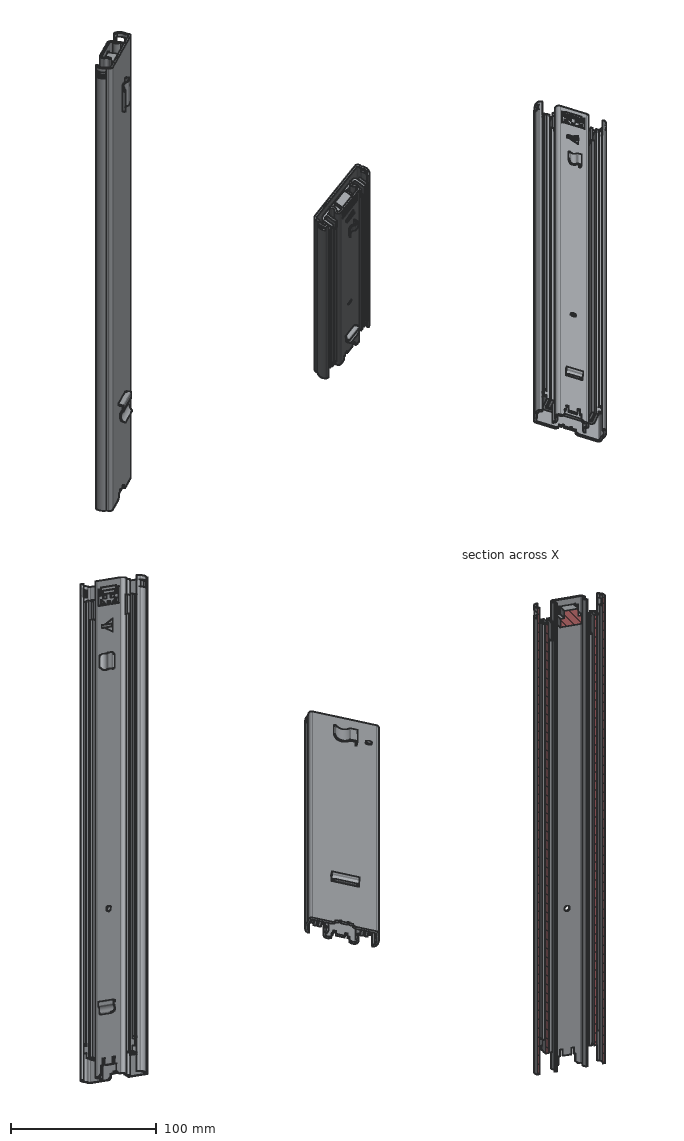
import cadquery as cq


rail_length = 350.0
overall_depth = 22.14
overall_height = 51.89
tab_reach = overall_depth / 2

outer_wall = 1.6
outer_back = 6.0
outer_bend = 1.6
outer_side = 24.9
bulge_start = 1.9
bulge_end = -4.4
lip_x = -5.1
lip_y = 22.8

middle_wall = 1.9
middle_bottom = 14.7
middle_top = 337.5
middle_back = 3.9
middle_front = -5.9
middle_side = 19.0
middle_bend = 1.5
outer_stop_z = (18.3, 23.4)
outer_stop_y = 21.1
outer_stop_thickness = 1.5
inner_stop_bottom = 323.7
inner_stop_y = (13.2, 14.8)

inner_wall = 1.5
inner_front = -6.9
inner_side = 11.6
inner_bend = 2.0
inner_race_start = -3.2
inner_race_end = 1.2
inner_race_depth = 1.3

cage_front = -5.9
outer_cage_y = (19.5, 21.1)
outer_cage_back = 1.0
outer_cage_z = (25.0, 337.0)
inner_cage_y = (13.8, 15.9)
inner_cage_back = 1.0
inner_cage_z = (middle_bottom, inner_stop_bottom)

catch_bottom = 332.2
catch_shoulder = 339.5
catch_top = 345.0
catch_half_width = 8.4
catch_neck_half_width = 6.2
catch_core_half_width = 5.3
catch_clearance = 0.3
slit_width = 1.0
slit_top = 344.0
recess_depth = 1.0
groove_z = (340.0, 342.5)
upper_recess_y = (1.6, 4.8)
upper_recess_z = (336.8, 339.0)
corner_recess_y = (3.0, 6.4)
corner_recess_z = (333.2, 336.4)
middle_recess_half_width = 1.1
middle_recess_z = (333.3, 334.6)

notch_half_width = 6.3
outer_notch_height = 4.0
inner_notch_height = 7.5
relief_slot_y = 4.2
relief_slot_width = 2.0
relief_slot_top = 12.4
notch_flare = 1.8
step_slot_y = 2.9
step_slot_width = 1.4
step_slot_top = 5.4

side_cutout_x = (-4.5, 1.6)
side_cutout_z = (342.0, 347.0)

pilot_hole_diameter = 4.0
pilot_hole_z = 117.5
mark_height = 0.4
mark_z = 317.0
mark_half_base = 4.6
mark_base_y = -3.6
mark_tip_y = 4.8
mark_rib_height = 1.2
mark_rib_width = 2.0
dimple_diameter = 4.4
dimple_height = 1.1
dimple_y = 17.0
dimple_z = 316.0

tab_thickness = 1.0
tab_corner = 2.0
tab_crest_share = 0.72
tab_pinch_share = 0.4
tab_run_end_share = 0.4
tab_pinch_place_share = 0.5
tab_neck_height = 1.0
tab_neck_inset = 0.9
outer_side_tab = {"length": 17.0, "width": 19.0, "z": 315.9}
outer_hanging_tab = {"length": 14.8, "width": 19.5, "z": 68.9}
inner_side_tab = {"length": 10.0, "width": 11.5, "z": 291.5}
inner_hanging_tab = {"length": 9.6, "width": 12.2, "z": 47.1}


def box(x_range, y_range, z_range):
    sizes = [high - low for low, high in (x_range, y_range, z_range)]
    return cq.Workplane("XY").box(*sizes, centered=False).translate((x_range[0], y_range[0], z_range[0]))


def extrude_wall(half_path, wall, bottom, top):
    """Thicken a half section path, extrude it along Z and mirror it about Y = 0."""
    half = half_path.offset2D(wall / 2).extrude(top - bottom)
    half = half.intersect(box((-overall_depth, overall_depth), (0, overall_height), (0, rail_length)))
    return half.union(half.mirror("XZ")).translate((0, 0, bottom))


def both_sides(body):
    return body.union(body.mirror("XZ"))


def spring_tab(root_x, direction, length, width):
    """Bent tab standing off a web on a narrowed neck: root, run, pinch and flared tip.

    It is built with the run along -Y, the width along Z and both centred on the origin.
    """
    reach = tab_reach - abs(root_x)
    crest = tab_crest_share * reach
    pinch = tab_pinch_share * reach
    half = length / 2 - tab_thickness / 2

    def at(height, y):
        return (root_x + direction * height, y)

    path = (
        cq.Workplane("XY")
        .moveTo(*at(-tab_thickness, half))
        .lineTo(*at(crest, half))
        .lineTo(*at(crest, tab_run_end_share * half))
        .threePointArc(at(pinch, -tab_pinch_place_share * half), at(reach - tab_thickness / 2, -half))
    )
    tab = path.offset2D(tab_thickness / 2).extrude(width / 2, both=True)
    outline = cq.Workplane("YZ").rect(length, width).extrude(reach).edges("|X and <Y").chamfer(tab_corner)
    for end in (-1, 1):
        relief = cq.Workplane("XY").box(2 * tab_neck_height, length, 2 * tab_neck_inset)
        outline = outline.cut(relief.translate((0, 0, end * width / 2)))
    if direction < 0:
        outline = outline.mirror("YZ")
    return tab.intersect(outline.translate((root_x, 0, 0)))


def side_tab(root_x, direction, length, width, z):
    """Tab whose run lies along Y; it points to -Y at the back and to +Y at the front."""
    tab = spring_tab(root_x, direction, length, width)
    if direction < 0:
        tab = tab.mirror("XZ")
    return tab.translate((0, 0, z))


def hanging_tab(root_x, direction, length, width, z):
    """Tab whose run points down."""
    return spring_tab(root_x, direction, length, width).rotate((0, 0, 0), (1, 0, 0), 90).translate((0, 0, z))


def bottom_notch(half_width, height, x_range):
    """Notch cutter open at Z = 0, flared at its mouth."""
    outline = [
        (-half_width - notch_flare, 0),
        (-half_width, notch_flare),
        (-half_width, height),
        (half_width, height),
        (half_width, notch_flare),
        (half_width + notch_flare, 0),
    ]
    depth = x_range[1] - x_range[0]
    return cq.Workplane("YZ").polyline(outline).close().extrude(depth).translate((x_range[0], 0, 0))


def catch_outline(clearance):
    wide = catch_half_width - clearance
    neck = catch_neck_half_width - clearance
    low = catch_bottom + clearance
    shoulder = catch_shoulder - clearance
    top = catch_top - clearance
    points = [(-wide, low), (wide, low), (wide, shoulder), (neck, shoulder), (neck, top)]
    points += [(-neck, top), (-neck, shoulder), (-wide, shoulder)]
    return cq.Workplane("YZ").polyline(points).close()


def make_outer_rail():
    web_x = outer_back - outer_wall / 2
    side_y = outer_side - outer_wall / 2
    bulge_crest = (bulge_start + bulge_end) / 2
    crest_y = overall_height / 2 - outer_wall / 2
    path = (
        cq.Workplane("XY")
        .moveTo(web_x, -outer_wall)
        .lineTo(web_x, side_y - outer_bend)
        .radiusArc((web_x - outer_bend, side_y), -outer_bend)
        .lineTo(bulge_start, side_y)
        .threePointArc((bulge_crest, crest_y), (bulge_end, side_y))
        .lineTo(lip_x, lip_y)
    )
    rail = extrude_wall(path, outer_wall, 0, rail_length)
    cutout_y = (outer_side - 2 * outer_wall, overall_height)
    rail = rail.cut(both_sides(box(side_cutout_x, cutout_y, side_cutout_z)))
    rail = rail.cut(bottom_notch(notch_half_width, outer_notch_height, (outer_back - outer_wall, outer_back)))
    slot_y = (step_slot_y - step_slot_width / 2, step_slot_y + step_slot_width / 2)
    rail = rail.cut(both_sides(box((outer_back - outer_wall, outer_back), slot_y, (0, step_slot_top))))
    dimple = (
        cq.Workplane("YZ", origin=(outer_back, dimple_y, dimple_z))
        .circle(dimple_diameter / 2)
        .extrude(dimple_height)
    )
    rail = rail.union(dimple)
    rail = rail.union(side_tab(outer_back, 1, **outer_side_tab))
    return rail.union(hanging_tab(outer_back, 1, **outer_hanging_tab))


def make_middle_rail():
    web_x = middle_back - middle_wall / 2
    side_y = middle_side - middle_wall / 2
    path = (
        cq.Workplane("XY")
        .moveTo(web_x, -middle_wall)
        .lineTo(web_x, side_y - middle_bend)
        .radiusArc((web_x - middle_bend, side_y), -middle_bend)
        .lineTo(middle_front, side_y)
    )
    rail = extrude_wall(path, middle_wall, middle_bottom, middle_top)
    rail = rail.intersect(box((middle_front, middle_back), (-middle_side, middle_side), (0, rail_length)))
    outer_stop = box(
        (middle_front, middle_front + outer_stop_thickness),
        (middle_side - middle_wall, outer_stop_y),
        outer_stop_z,
    )
    inner_stop = box((middle_front, web_x), inner_stop_y, (inner_stop_bottom, middle_top))
    return rail.union(both_sides(outer_stop)).union(both_sides(inner_stop))


def make_inner_rail():
    web_x = inner_front + inner_wall / 2
    race_middle = (inner_race_start + inner_race_end) / 2
    path = (
        cq.Workplane("XY")
        .moveTo(web_x, -inner_wall)
        .lineTo(web_x, inner_side - inner_bend)
        .radiusArc((web_x + inner_bend, inner_side), inner_bend)
        .lineTo(inner_race_start, inner_side)
        .threePointArc((race_middle, inner_side - inner_race_depth), (inner_race_end, inner_side))
    )
    rail = extrude_wall(path, inner_wall, 0, rail_length)
    web = (inner_front, inner_front + inner_wall)
    rail = rail.cut(catch_outline(0).extrude(inner_wall).translate((inner_front, 0, 0)))
    slit_y = (catch_half_width - slit_width, catch_half_width)
    rail = rail.cut(both_sides(box(web, slit_y, (catch_shoulder, slit_top))))
    rail = rail.cut(bottom_notch(notch_half_width, inner_notch_height, web))
    slot_y = (relief_slot_y - relief_slot_width / 2, relief_slot_y + relief_slot_width / 2)
    rail = rail.cut(both_sides(box(web, slot_y, (0, relief_slot_top))))
    hole = (
        cq.Workplane("YZ", origin=(inner_front, 0, pilot_hole_z))
        .circle(pilot_hole_diameter / 2)
        .extrude(inner_wall)
    )
    rail = rail.cut(hole)
    triangle = [
        (mark_base_y, mark_z - mark_half_base),
        (mark_base_y, mark_z + mark_half_base),
        (mark_tip_y, mark_z),
    ]
    mark = cq.Workplane("YZ", origin=(inner_front, 0, 0)).polyline(triangle).close().extrude(-mark_height)
    rib = box(
        (inner_front - mark_rib_height, inner_front),
        (mark_base_y, mark_tip_y),
        (mark_z - mark_rib_width / 2, mark_z + mark_rib_width / 2),
    )
    rail = rail.union(mark).union(rib)
    rail = rail.union(side_tab(inner_front, -1, **inner_side_tab))
    return rail.union(hanging_tab(inner_front, -1, **inner_hanging_tab))


def make_cage(side, y_range, back, z_range):
    cage = box((cage_front, back), y_range, z_range)
    if side < 0:
        cage = cage.mirror("XZ")
    return cage


def catch_recesses():
    """Cutters for the recesses in the face of the catch, leaving crossed ribs between them."""
    depth = (inner_front, inner_front + recess_depth)
    groove = box(depth, (-catch_core_half_width, catch_core_half_width), groove_z)
    upper = box(depth, upper_recess_y, upper_recess_z)
    middle = box(depth, (-middle_recess_half_width, middle_recess_half_width), middle_recess_z)
    corner = (
        cq.Workplane("YZ", origin=(inner_front, 0, 0))
        .moveTo(corner_recess_y[0], corner_recess_z[0])
        .lineTo(corner_recess_y[1], corner_recess_z[0])
        .lineTo(corner_recess_y[1], corner_recess_z[1])
        .close()
        .extrude(recess_depth)
    )
    return groove.union(middle).union(both_sides(upper)).union(both_sides(corner))


def make_catch():
    plate = catch_outline(catch_clearance).extrude(inner_wall).translate((inner_front, 0, 0))
    core_x = (inner_front + inner_wall, middle_back - middle_wall)
    base_half_width = catch_half_width - catch_clearance
    base_z = (catch_bottom + catch_clearance, catch_shoulder - catch_clearance)
    core_z = (catch_shoulder - catch_clearance, catch_top - catch_clearance)
    base = box(core_x, (-base_half_width, base_half_width), base_z)
    core = box(core_x, (-catch_core_half_width, catch_core_half_width), core_z)
    return plate.union(base).union(core).cut(catch_recesses())


outer_rail = make_outer_rail()
middle_rail = make_middle_rail()
inner_rail = make_inner_rail()
catch = make_catch()

cages = []
for side in (1, -1):
    cages.append(make_cage(side, outer_cage_y, outer_cage_back, outer_cage_z))
    cages.append(make_cage(side, inner_cage_y, inner_cage_back, inner_cage_z))

result = cq.Compound.makeCompound(
    [outer_rail.val(), middle_rail.val(), inner_rail.val(), catch.val()] + [cage.val() for cage in cages]
)